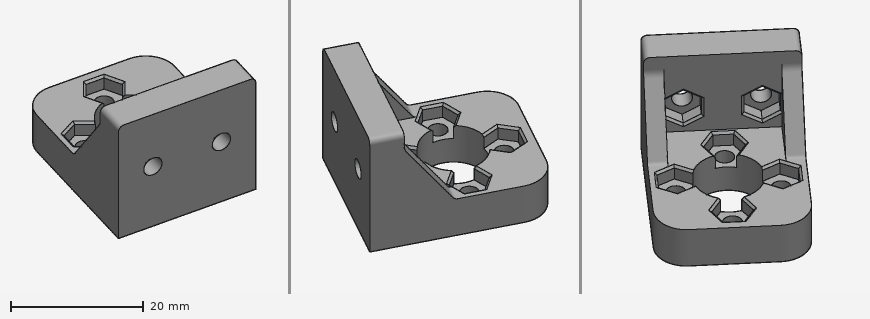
import cadquery as cq
import math

length = 29.5
width = 24.0
height = 21.5

base_height = 7.02
base_corner_radius = 5.02
wall_thickness = 5.5
wall_face_x = length - wall_thickness
wall_corner_radius = 1.0

rib_thickness = 3.07
rib_foot_x = 16.05
rib_top_z = 18.35
rib_foot_radius = 1.0
rib_top_radius = 2.0

bore_diameter = 11.0
bore_x = 12.5
base_screw_diameter = 3.0
base_screw_offset = 8.0

wall_screw_diameter = 3.2
wall_screw_offset = 6.0
wall_screw_z = 11.5

nut_flats = 5.5
nut_depth = 2.5
nut_chamfer = 0.38

overcut = 0.3


def make_base():
    """Plate with its two free corners rounded."""
    plate = cq.Workplane("XY").box(length, width, base_height, centered=(False, True, False))
    return plate.edges("|Z and <X").fillet(base_corner_radius)


def make_wall():
    """Upright wall with rounded upper corners."""
    wall = cq.Workplane("XY").box(wall_thickness, width, height, centered=(False, True, False))
    return wall.edges("|X and >Z").fillet(wall_corner_radius).translate((wall_face_x, 0, 0))


def make_rib(side):
    """Sloping rib flush with one side, blended into the plate and the wall."""
    slope = math.atan2(rib_top_z - base_height, wall_face_x - rib_foot_x)
    run, rise = math.cos(slope), math.sin(slope)
    foot_tangent = rib_foot_radius * math.tan(slope / 2)
    top_turn = math.pi / 2 - slope
    top_tangent = rib_top_radius * math.tan(top_turn / 2)
    rib = (
        cq.Workplane("XZ")
        .moveTo(rib_foot_x - foot_tangent, base_height)
        .radiusArc(
            (rib_foot_x + foot_tangent * run, base_height + foot_tangent * rise),
            -rib_foot_radius,
        )
        .lineTo(wall_face_x - top_tangent * run, rib_top_z - top_tangent * rise)
        .radiusArc((wall_face_x, rib_top_z + top_tangent), -rib_top_radius)
        .lineTo(wall_face_x, base_height)
        .close()
        .extrude(rib_thickness / 2, both=True)
    )
    return rib.translate((0, side * (width - rib_thickness) / 2, 0))


def nut_pocket(plane, corner_angle):
    """Hexagonal pocket cutter with a chamfered mouth, sunk below the given plane."""
    def hexagon(level, flats):
        corner_radius = flats / math.sqrt(3)
        angles = [math.radians(corner_angle + 60 * i) for i in range(6)]
        points = [(corner_radius * math.cos(a), corner_radius * math.sin(a)) for a in angles]
        return cq.Workplane(plane).workplane(offset=level).polyline(points).close()

    pocket = hexagon(0, nut_flats).extrude(-nut_depth)
    mouth_flats = nut_flats + 2 * nut_chamfer
    mouth = hexagon(0, mouth_flats).extrude(-nut_chamfer, taper=45)
    return pocket.union(mouth)


def cut_base_openings(body):
    """Central bore with four screw holes and nut pockets around it."""
    bore = cq.Workplane("XY").circle(bore_diameter / 2).extrude(base_height + overcut)
    body = body.cut(bore.translate((bore_x, 0, 0)))
    screw = cq.Workplane("XY").circle(base_screw_diameter / 2).extrude(base_height)
    for angle in (0, 90, 180, 270):
        x = bore_x + base_screw_offset * math.cos(math.radians(angle))
        y = base_screw_offset * math.sin(math.radians(angle))
        pocket = nut_pocket("XY", angle + 30)
        body = body.cut(screw.translate((x, y, 0)))
        body = body.cut(pocket.translate((x, y, base_height)))
    return body


def cut_wall_openings(body):
    """Two screw holes through the wall, with nut pockets on its inner face."""
    inward_face = cq.Plane(origin=(wall_face_x, 0, wall_screw_z), xDir=(0, 0, 1), normal=(-1, 0, 0))
    screw = cq.Workplane(inward_face).circle(wall_screw_diameter / 2).extrude(-wall_thickness)
    pocket = nut_pocket(inward_face, 0)
    for side in (-1, 1):
        shift = (0, side * wall_screw_offset, 0)
        body = body.cut(screw.translate(shift)).cut(pocket.translate(shift))
    return body


bracket = make_base().union(make_wall())
for rib_side in (-1, 1):
    bracket = bracket.union(make_rib(rib_side))
bracket = cut_base_openings(bracket)
result = cut_wall_openings(bracket)